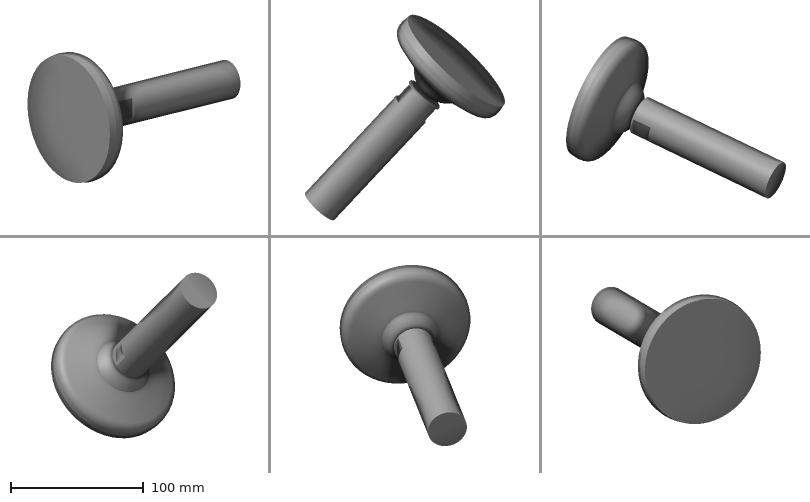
import cadquery as cq
import math

total_length = 155

underside_radius = 49.1
rim_radius = 49.99
rim_height = 6.0
shoulder_start_radius = 49.8
shoulder_start_height = 8.7
shoulder_fillet_radius = 7.6
cone_top_radius = 21.9
cone_top_height = 23.7

dome_base_radius = 20.5
dome_base_height = 25.1
dome_overlap = 0.2

stem_diameter = 30.0
stem_bottom_height = 35.2
stem_chamfer_width = 1.4
stem_chamfer_height = 0.6
flat_bottom_height = 36.9
flat_top_height = 52.0
across_flats = 24.0


def make_foot():
    """Revolve the base and its dome about Y."""
    arc_centre_radius = shoulder_start_radius - shoulder_fillet_radius
    run = arc_centre_radius - cone_top_radius
    rise = cone_top_height - shoulder_start_height
    cone_slope = math.atan2(rise, run) - math.asin(shoulder_fillet_radius / math.hypot(run, rise))

    def shoulder_point(angle):
        return (
            arc_centre_radius + shoulder_fillet_radius * math.cos(angle),
            shoulder_start_height + shoulder_fillet_radius * math.sin(angle),
        )

    shoulder_end_angle = math.pi / 2 - cone_slope

    dome_top_height = stem_bottom_height + dome_overlap
    dome_rise = dome_top_height - dome_base_height
    sphere_radius = (dome_base_radius**2 + dome_rise**2) / (2 * dome_rise)
    half_angle = math.asin(dome_base_radius / sphere_radius) / 2
    dome_middle = (
        sphere_radius * math.sin(half_angle),
        dome_top_height - sphere_radius * (1 - math.cos(half_angle)),
    )

    profile = (
        cq.Workplane("XY")
        .lineTo(underside_radius, 0)
        .lineTo(rim_radius, rim_height)
        .lineTo(shoulder_start_radius, shoulder_start_height)
        .threePointArc(shoulder_point(shoulder_end_angle / 2), shoulder_point(shoulder_end_angle))
        .lineTo(cone_top_radius, cone_top_height)
        .lineTo(dome_base_radius, dome_base_height)
        .threePointArc(dome_middle, (0, dome_top_height))
        .close()
    )
    return profile.revolve(360, (0, 0, 0), (0, 1, 0))


def make_stem():
    """Revolve the stem with its chamfered lower end, then cut the two wrench flats."""
    stem_radius = stem_diameter / 2
    stem = (
        cq.Workplane("XY")
        .moveTo(0, stem_bottom_height)
        .lineTo(stem_radius - stem_chamfer_width, stem_bottom_height)
        .lineTo(stem_radius, stem_bottom_height + stem_chamfer_height)
        .lineTo(stem_radius, total_length)
        .lineTo(0, total_length)
        .close()
        .revolve(360, (0, 0, 0), (0, 1, 0))
    )
    flat_length = flat_top_height - flat_bottom_height
    flat_middle_height = (flat_top_height + flat_bottom_height) / 2
    for side in (-1, 1):
        cutter_x = side * (across_flats + stem_diameter) / 2
        cutter = cq.Workplane("XY").box(stem_diameter, flat_length, stem_diameter)
        stem = stem.cut(cutter.translate((cutter_x, flat_middle_height, 0)))
    return stem


result = make_foot().union(make_stem())